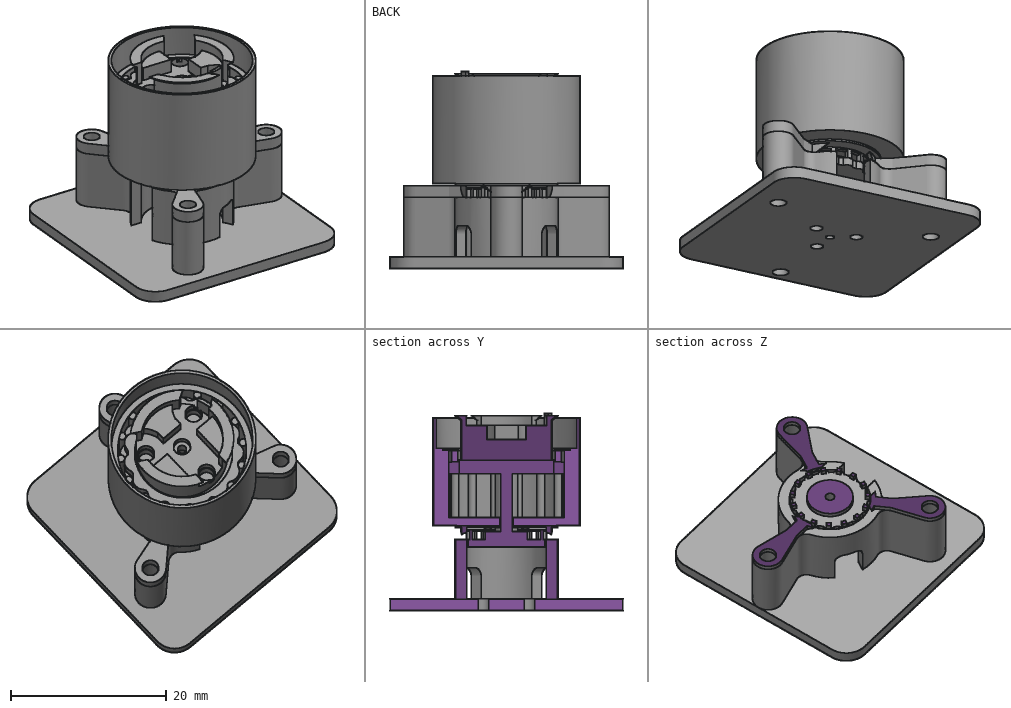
import cadquery as cq
import math

CENTRE_BORE_DIA = 1.1
POST_ANGLES = (90, 210, 330)
GAP_ANGLES = (30, 150, 270)
GAP_HEADING = 270

PLATE_TOP = 1.5
ROTOR_BOTTOM = 8.15
HOUSING_TOP = 9.18
RIB_TOP = 10.2
ROTOR_RING_TOP = 10.45
FLANGE_TOP = 10.68
BELL_BOTTOM = 10.95
BELL_FLOOR_TOP = 12.0
DISC_THICKNESS = 1.5
DISC_TOP = 20.6
DISC_MIDDLE = DISC_TOP - DISC_THICKNESS
DISC_BOTTOM = DISC_MIDDLE - DISC_THICKNESS
UPPER_CAM_TOP = DISC_MIDDLE + 0.3
PIN_TOP = 20.7
LEDGE_Z = 20.9
CARRIER_FLOOR = 22.05
PAD_TOP = 23.85
BELL_TOP = 24.8
JAW_TOP = 25.1
TAB_TOP = 25.4

PLATE_SIDE = 30.0
PLATE_CORNER_RADIUS = 3.0
PLATE_HOLE_DIA = 1.6
PLATE_HOLE_PITCH_RADIUS = 3.4

POST_RADIUS = 2.0
POST_PITCH_RADIUS = PLATE_SIDE / 2 - POST_RADIUS
POST_HOLE_DIA = 2.1
ARM_TAPER = math.radians(13.8)
ARM_FILLET = 1.35

RING_RADIUS = 6.65
FLANGE_RING_RADIUS = 5.9
RING_BORE_DIA = 10.5
FRONT_GAP_WIDTH = 4.92
WINDOW_WIDTH = 3.87
WINDOW_TOP = 5.55
WINDOW_CORNER_RADIUS = 1.1
VENT_BOTTOM_WIDTH = 9.12
VENT_TOP_WIDTH = 6.0
BOSS_DIA = 13.15
SHAFT_HOLE_DIA = 3.0

BELL_DIA = 19.02
BELL_BORE_DIA = 18.2
PIN_RING_BORE_DIA = 16.55
PIN_COUNT = 16
PIN_DIA = 1.0
PIN_PITCH_RADIUS = 7.95

ECCENTRICITY = 0.3
DISC_CLEARANCE = 0.015
CURVE_POINTS_PER_LOBE = 12
LOBE_COUNT = PIN_COUNT - 1
CAM_DIA = 12.6
SHAFT_DIA = 2.9
ROTOR_RADIUS = 5.15
ROTOR_LOBE_RADIUS = 0.8
ROTOR_CORE_RADIUS = 4.8
RIB_WIDTH = 0.6
RIB_DEPTH = 0.6
HUB_DIA = 6.0

JAW_RADIUS = 6.65
JAW_INNER_RADIUS = 5.28
JAW_LIP_HEIGHT = 0.6
JAW_GAP = 3.95
FLOOR_RADIUS = 5.9
CENTRE_RECESS_DIA = 2.2
CENTRE_RECESS_DEPTH = 0.95
SOCKET_DIA = 2.2
SOCKET_BORE_DIA = 2.0
SOCKET_PITCH_RADIUS = 4.75
SOCKET_SLOT_WIDTH = 0.6
SOCKET_SLOT_DEPTH = 0.5
SIDE_PAD_INNER_X = 2.52
SIDE_PAD_LENGTH = 4.32
BACK_PAD_HALF_WIDTH = 1.5
BACK_PAD_FRONT_Y = 1.92
BACK_PAD_FLARE_Y = 3.0
BACK_PAD_FLARE_MIDDLE = (1.85, 3.87)
BACK_PAD_FLARE_END = (2.5, 4.68)
TAB_INNER_RADIUS = 5.45
TAB_START_ANGLE = 8
TAB_END_ANGLE = 27


def polar(radius, degrees):
    angle = math.radians(degrees)
    return (radius * math.cos(angle), radius * math.sin(angle))


def cylinder(radius, bottom, top, centre=(0, 0)):
    return cq.Workplane("XY", origin=(*centre, bottom)).circle(radius).extrude(top - bottom)


def block(x_range, width, bottom, top, heading):
    """Box centred across the given heading, reaching over x_range along it."""
    near, far = x_range
    box = cq.Workplane("XY").box(far - near, width, top - bottom)
    return box.translate(((near + far) / 2, 0, (bottom + top) / 2)).rotate((0, 0, 0), (0, 0, 1), heading)


def arm_outline(root_x, root_y):
    """Path, starting at the root corner, round the post to the far side of an arm along +X."""
    post_x = POST_PITCH_RADIUS - POST_RADIUS * math.sin(ARM_TAPER)
    post_y = POST_RADIUS * math.cos(ARM_TAPER)
    return (
        cq.Workplane("XY")
        .moveTo(root_x, -root_y)
        .lineTo(post_x, -post_y)
        .threePointArc((POST_PITCH_RADIUS + POST_RADIUS, 0), (post_x, post_y))
        .lineTo(root_x, root_y)
    )


ARM_SIDE_OFFSET = POST_RADIUS - POST_PITCH_RADIUS * math.sin(ARM_TAPER)
FILLET_OFFSET = ARM_SIDE_OFFSET + ARM_FILLET
FILLET_CENTRE_RADIUS = RING_RADIUS + ARM_FILLET
FILLET_REACH = math.sqrt(FILLET_CENTRE_RADIUS**2 - FILLET_OFFSET**2)


def from_arm_side(reach, offset):
    """Turn a place along and square to the tapered arm side into X and Y."""
    x = reach * math.cos(ARM_TAPER) - offset * math.sin(ARM_TAPER)
    y = reach * math.sin(ARM_TAPER) + offset * math.cos(ARM_TAPER)
    return (x, y)


ARM_ROOT = from_arm_side(FILLET_REACH, ARM_SIDE_OFFSET)


def filleted_arm(height):
    """Housing arm along +X, flaring into the ring with round fillets."""
    centre_x, centre_y = from_arm_side(FILLET_REACH, FILLET_OFFSET)
    ring_x = centre_x * RING_RADIUS / FILLET_CENTRE_RADIUS
    ring_y = centre_y * RING_RADIUS / FILLET_CENTRE_RADIUS
    root_x, root_y = ARM_ROOT
    to_root = math.atan2(root_y - centre_y, root_x - centre_x)
    to_ring = math.atan2(ring_y - centre_y, ring_x - centre_x) % (-2 * math.pi)
    half_way = (to_root + to_ring) / 2
    middle_x = centre_x + ARM_FILLET * math.cos(half_way)
    middle_y = centre_y + ARM_FILLET * math.sin(half_way)
    outline = arm_outline(root_x, root_y).threePointArc((middle_x, middle_y), (ring_x, ring_y))
    outline = outline.lineTo(ring_x, -ring_y).threePointArc((middle_x, -middle_y), (root_x, -root_y))
    return outline.close().extrude(height)


def straight_arm(height):
    """Flange arm along +X, whose neck runs straight into the ring."""
    root_x, root_y = ARM_ROOT
    outline = arm_outline(root_x, root_y).lineTo(RING_BORE_DIA / 2, root_y)
    return outline.lineTo(RING_BORE_DIA / 2, -root_y).close().extrude(height)


def three_armed_ring(ring_radius, arm, bottom, top):
    body = cylinder(ring_radius, bottom, top)
    for angle in POST_ANGLES:
        body = body.union(arm.translate((0, 0, bottom)).rotate((0, 0, 0), (0, 0, 1), angle))
    return cut_post_holes(body.cut(cylinder(RING_BORE_DIA / 2, bottom, top)))


def cut_post_holes(body):
    for angle in POST_ANGLES:
        centre = polar(POST_PITCH_RADIUS, angle)
        body = body.cut(cylinder(POST_HOLE_DIA / 2, 0, FLANGE_TOP, centre))
    return body


def make_plate():
    plate = cq.Workplane("XY").rect(PLATE_SIDE, PLATE_SIDE).extrude(PLATE_TOP)
    plate = cut_post_holes(plate.edges("|Z").fillet(PLATE_CORNER_RADIUS))
    for angle in POST_ANGLES:
        centre = polar(PLATE_HOLE_PITCH_RADIUS, angle)
        plate = plate.cut(cylinder(PLATE_HOLE_DIA / 2, 0, PLATE_TOP, centre))
    return plate.cut(cylinder(CENTRE_BORE_DIA / 2, 0, PLATE_TOP))


def make_housing():
    """Posted ring, open at the front and with an arched window in each of the other two walls."""
    arm = filleted_arm(HOUSING_TOP - PLATE_TOP)
    housing = three_armed_ring(RING_RADIUS, arm, PLATE_TOP, HOUSING_TOP)
    reach = (0, RING_RADIUS + POST_RADIUS)
    for heading in GAP_ANGLES:
        if heading == GAP_HEADING:
            opening = block(reach, FRONT_GAP_WIDTH, PLATE_TOP, HOUSING_TOP, heading)
        else:
            window = block(reach, WINDOW_WIDTH, PLATE_TOP, WINDOW_TOP, 0)
            window = window.edges("|X and >Z").fillet(WINDOW_CORNER_RADIUS)
            opening = window.rotate((0, 0, 0), (0, 0, 1), heading)
        housing = housing.cut(opening)
    return housing


def make_flange():
    """Cap of the housing, with a vent between each pair of arms and a round boss on top."""
    arm = straight_arm(FLANGE_TOP - HOUSING_TOP)
    flange = three_armed_ring(FLANGE_RING_RADIUS, arm, HOUSING_TOP, FLANGE_TOP)
    vent_outline = [
        (-VENT_BOTTOM_WIDTH / 2, HOUSING_TOP),
        (VENT_BOTTOM_WIDTH / 2, HOUSING_TOP),
        (VENT_TOP_WIDTH / 2, FLANGE_TOP),
        (-VENT_TOP_WIDTH / 2, FLANGE_TOP),
    ]
    vent = cq.Workplane("YZ").polyline(vent_outline).close().extrude(RING_RADIUS + POST_RADIUS)
    for heading in GAP_ANGLES:
        flange = flange.cut(vent.rotate((0, 0, 0), (0, 0, 1), heading))
    flange = flange.union(cylinder(BOSS_DIA / 2, FLANGE_TOP, BELL_BOTTOM))
    return flange.cut(cylinder(SHAFT_HOLE_DIA / 2, FLANGE_TOP, BELL_BOTTOM))


def make_bell():
    """Outer shell with a ledge inside, a pin ring below the ledge and a floor."""
    bell = cylinder(BELL_DIA / 2, BELL_BOTTOM, BELL_TOP)
    bell = bell.cut(cylinder(BELL_BORE_DIA / 2, LEDGE_Z, BELL_TOP))
    bell = bell.cut(cylinder(PIN_RING_BORE_DIA / 2, BELL_FLOOR_TOP, LEDGE_Z))
    bell = bell.cut(cylinder(SHAFT_HOLE_DIA / 2, BELL_BOTTOM, BELL_FLOOR_TOP))
    step = 360 / PIN_COUNT
    for index in range(PIN_COUNT):
        centre = polar(PIN_PITCH_RADIUS, (index + 0.5) * step)
        bell = bell.union(cylinder(PIN_DIA / 2, BELL_FLOOR_TOP, PIN_TOP, centre))
    return bell


def cycloid_point(t):
    """Point of the lobed curve that rolls inside the pin circle, with a valley on +X."""
    roller = PIN_DIA / 2 + DISC_CLEARANCE
    turn = LOBE_COUNT * t
    ratio = PIN_PITCH_RADIUS / (ECCENTRICITY * PIN_COUNT)
    lean = math.atan2(-math.sin(turn), ratio - math.cos(turn))

    def along(wave):
        rolling = PIN_PITCH_RADIUS * wave(t) - ECCENTRICITY * wave(PIN_COUNT * t)
        return rolling - roller * wave(t + lean)

    return (along(math.cos), along(math.sin))


def make_disc(bottom, valley_angle):
    """Cycloid disc, shifted away from its valley at valley_angle."""
    point_count = LOBE_COUNT * CURVE_POINTS_PER_LOBE
    points = [cycloid_point(2 * math.pi * index / point_count) for index in range(point_count)]
    disc = cq.Workplane("XY").spline(points, periodic=True).close().extrude(DISC_THICKNESS)
    disc = disc.cut(cylinder(CAM_DIA / 2, 0, DISC_THICKNESS))
    disc = disc.rotate((0, 0, 0), (0, 0, 1), valley_angle)
    return disc.translate((*polar(-ECCENTRICITY, valley_angle), bottom))


def make_rotor():
    """Hollow shaft with a ribbed, lobed wheel at its foot and two opposite cams at its head."""
    rotor = cylinder(ROTOR_CORE_RADIUS, ROTOR_BOTTOM, HOUSING_TOP)
    ring_inner = ROTOR_RADIUS - RIB_DEPTH
    ring = cylinder(ROTOR_RADIUS, RIB_TOP, ROTOR_RING_TOP)
    rotor = rotor.union(ring.cut(cylinder(ring_inner, RIB_TOP, ROTOR_RING_TOP)))
    for index in range(LOBE_COUNT):
        angle = GAP_HEADING + index * 360 / LOBE_COUNT
        centre = polar(ROTOR_RADIUS - ROTOR_LOBE_RADIUS, angle)
        rotor = rotor.union(cylinder(ROTOR_LOBE_RADIUS, ROTOR_BOTTOM, HOUSING_TOP, centre))
        rib = block((ring_inner, ROTOR_RADIUS), RIB_WIDTH, HOUSING_TOP, ROTOR_RING_TOP, angle)
        rotor = rotor.union(rib.intersect(cylinder(ROTOR_RADIUS, HOUSING_TOP, ROTOR_RING_TOP)))
    rotor = rotor.union(cylinder(HUB_DIA / 2, HOUSING_TOP, RIB_TOP))
    rotor = rotor.union(cylinder(SHAFT_DIA / 2, ROTOR_BOTTOM, UPPER_CAM_TOP))
    rotor = rotor.union(cylinder(CAM_DIA / 2, DISC_BOTTOM, DISC_MIDDLE, (0, ECCENTRICITY)))
    rotor = rotor.union(cylinder(CAM_DIA / 2, DISC_MIDDLE, UPPER_CAM_TOP, (0, -ECCENTRICITY)))
    return rotor.cut(cylinder(CENTRE_BORE_DIA / 2, ROTOR_BOTTOM, UPPER_CAM_TOP))


def carrier_jaws():
    """Three arc-shaped walls with an overhanging lip round the outside of their tops."""
    profile = [
        (JAW_INNER_RADIUS, CARRIER_FLOOR),
        (FLOOR_RADIUS, CARRIER_FLOOR),
        (FLOOR_RADIUS, JAW_TOP - JAW_LIP_HEIGHT),
        (JAW_RADIUS, JAW_TOP),
        (JAW_INNER_RADIUS, JAW_TOP),
    ]
    ring = cq.Workplane("XZ").polyline(profile).close().revolve(360, (0, 0, 0), (0, 1, 0))
    for heading in GAP_ANGLES:
        ring = ring.cut(block((0, JAW_RADIUS + JAW_GAP), JAW_GAP, CARRIER_FLOOR, JAW_TOP, heading))
    return ring


def carrier_pads():
    flare_x, flare_y = BACK_PAD_FLARE_END
    middle_x, middle_y = BACK_PAD_FLARE_MIDDLE
    pads = (
        cq.Workplane("XY", origin=(0, 0, CARRIER_FLOOR))
        .moveTo(-BACK_PAD_HALF_WIDTH, BACK_PAD_FRONT_Y)
        .lineTo(BACK_PAD_HALF_WIDTH, BACK_PAD_FRONT_Y)
        .lineTo(BACK_PAD_HALF_WIDTH, BACK_PAD_FLARE_Y)
        .threePointArc((middle_x, middle_y), (flare_x, flare_y))
        .threePointArc((0, JAW_INNER_RADIUS), (-flare_x, flare_y))
        .threePointArc((-middle_x, middle_y), (-BACK_PAD_HALF_WIDTH, BACK_PAD_FLARE_Y))
        .close()
        .extrude(PAD_TOP - CARRIER_FLOOR)
    )
    for side in (-1, 1):
        inner_x = side * SIDE_PAD_INNER_X
        outer_x = side * JAW_RADIUS
        corners = [(inner_x, 0), (outer_x, 0), (outer_x, -SIDE_PAD_LENGTH), (inner_x, -SIDE_PAD_LENGTH)]
        pad = cq.Workplane("XY", origin=(0, 0, CARRIER_FLOOR)).polyline(corners).close()
        pads = pads.union(pad.extrude(PAD_TOP - CARRIER_FLOOR))
    return pads.intersect(cylinder(JAW_INNER_RADIUS, CARRIER_FLOOR, PAD_TOP))


def carrier_tab():
    """Raised curved wall beside the jaw gap on the +X +Y side."""
    middle_angle = (TAB_START_ANGLE + TAB_END_ANGLE) / 2
    return (
        cq.Workplane("XY", origin=(0, 0, CARRIER_FLOOR))
        .moveTo(*polar(TAB_INNER_RADIUS, TAB_START_ANGLE))
        .lineTo(*polar(FLOOR_RADIUS, TAB_START_ANGLE))
        .threePointArc(polar(FLOOR_RADIUS, middle_angle), polar(FLOOR_RADIUS, TAB_END_ANGLE))
        .lineTo(*polar(TAB_INNER_RADIUS, TAB_END_ANGLE))
        .threePointArc(polar(TAB_INNER_RADIUS, middle_angle), polar(TAB_INNER_RADIUS, TAB_START_ANGLE))
        .close()
        .extrude(TAB_TOP - CARRIER_FLOOR)
    )


def make_carrier():
    """Drum with three slotted sockets, topped by the jaws, the pads and one raised tab."""
    carrier = cylinder(FLOOR_RADIUS, UPPER_CAM_TOP, CARRIER_FLOOR)
    for heading in GAP_ANGLES:
        centre = polar(SOCKET_PITCH_RADIUS, heading)
        slot_floor = CARRIER_FLOOR - SOCKET_SLOT_DEPTH
        slot_reach = (SOCKET_PITCH_RADIUS, FLOOR_RADIUS)
        carrier = carrier.cut(cylinder(SOCKET_DIA / 2, LEDGE_Z, CARRIER_FLOOR, centre))
        carrier = carrier.cut(cylinder(SOCKET_BORE_DIA / 2, UPPER_CAM_TOP, LEDGE_Z, centre))
        carrier = carrier.cut(block(slot_reach, SOCKET_SLOT_WIDTH, slot_floor, CARRIER_FLOOR, heading))
    carrier = carrier.union(carrier_jaws()).union(carrier_pads()).union(carrier_tab())
    recess_bottom = CARRIER_FLOOR - CENTRE_RECESS_DEPTH
    carrier = carrier.cut(cylinder(CENTRE_RECESS_DIA / 2, recess_bottom, CARRIER_FLOOR))
    return carrier.cut(cylinder(CENTRE_BORE_DIA / 2, UPPER_CAM_TOP, CARRIER_FLOOR))


plate = make_plate()
housing = make_housing()
flange = make_flange()
bell = make_bell()
rotor = make_rotor()
carrier = make_carrier()
discs = [make_disc(bottom, angle) for bottom, angle in ((DISC_MIDDLE, 90), (DISC_BOTTOM, 270))]

result = cq.Compound.makeCompound(
    [body.val() for body in (plate, housing, flange, bell, rotor, carrier, *discs)]
)